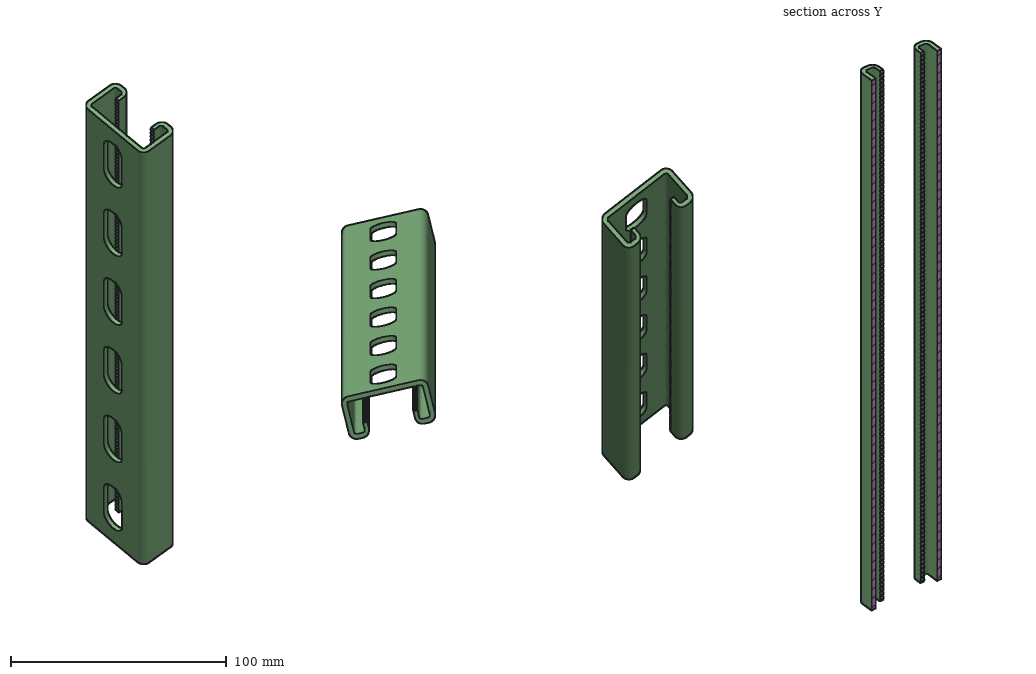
import cadquery as cq

length = 300.0
width = 41.0
depth = 21.0
wall = 2.5
mouth = 22.0
lip_wall = 2.0
lip_depth = 7.5
inner_radius = 1.25
outer_radius = inner_radius + wall

slot_count = 6
slot_length = 30.0
slot_width = 12.3
slot_pitch = length / slot_count

tooth_count = 120
tooth_depth = 0.5
tooth_pitch = length / tooth_count

half_length = length / 2
half_width = width / 2
half_depth = depth / 2
half_mouth = mouth / 2
lip_tip_y = half_depth - lip_depth


def rounded_bar(x_start, x_end, y_min, y_max, radius, corners):
    """Full-length bar between two X and two Y positions, with the chosen edges rounded."""
    bar = cq.Workplane("XY").box(abs(x_end - x_start), y_max - y_min, length)
    bar = bar.edges(corners).fillet(radius)
    return bar.translate(((x_start + x_end) / 2, (y_min + y_max) / 2, 0))


def trough():
    """Back wall and side walls, up to the level where the lips end."""
    corners = "|Z and <Y"
    cavity_x = half_width - wall
    outside = rounded_bar(-half_width, half_width, -half_depth, lip_tip_y, outer_radius, corners)
    cavity = rounded_bar(-cavity_x, cavity_x, -half_depth + wall, lip_tip_y, inner_radius, corners)
    return outside.cut(cavity)


def lip_hook(side):
    """Upper side wall, flange and turned-in lip; side is -1 or 1."""
    corners = "|Z and >Y"
    outside = rounded_bar(
        side * half_width, side * half_mouth, lip_tip_y, half_depth, outer_radius, corners
    )
    cavity = rounded_bar(
        side * (half_width - wall), side * (half_mouth + lip_wall),
        lip_tip_y, half_depth - wall, inner_radius, corners,
    )
    return outside.cut(cavity)


def tooth_gaps():
    """V-shaped gaps along the free edges of both lips, half a gap at each end of the channel."""
    points = []
    for index in range(tooth_count):
        z = -half_length + index * tooth_pitch
        points.append((lip_tip_y + tooth_depth, z))
        points.append((lip_tip_y, z + tooth_pitch / 2))
    points.append((lip_tip_y + tooth_depth, half_length))
    points.append((lip_tip_y - tooth_depth, half_length))
    points.append((lip_tip_y - tooth_depth, -half_length))
    reach = half_mouth + lip_wall
    return cq.Workplane("YZ").polyline(points).close().extrude(reach, both=True)


def back_slots():
    """Row of round-ended slots through the back wall."""
    return (
        cq.Workplane("XZ", origin=(0, -half_depth, 0))
        .rarray(3, slot_pitch, 1, slot_count)
        .slot2D(slot_length, slot_width, 90)
        .extrude(-wall)
    )


channel = trough().union(lip_hook(-1)).union(lip_hook(1)).clean()
result = channel.cut(tooth_gaps()).cut(back_slots())